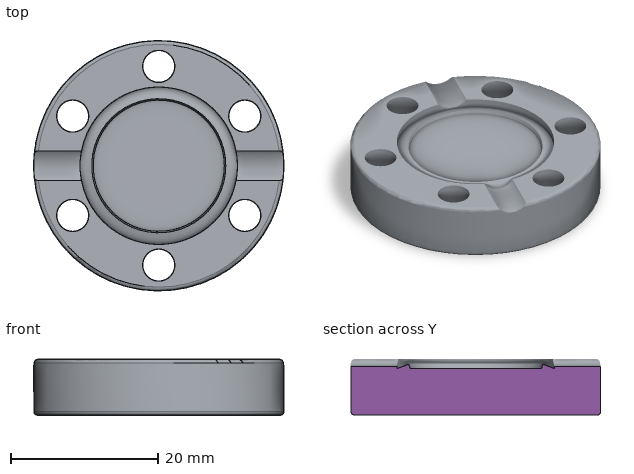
import cadquery as cq

outer_diameter = 34
thickness = 7.6
edge_radius = 0.5

recess_diameter = 21.4
knife_diameter = 18.22
floor_diameter = 17.8
knife_depth = 0.65
recess_depth = 1.22

hole_count = 6
hole_diameter = 4.32
bolt_circle_diameter = 27.0
first_hole_angle = 90

groove_width = 4.0
groove_depth = 1.0
groove_radius = ((groove_width / 2) ** 2 + groove_depth**2) / (2 * groove_depth)


def make_disc():
    """Disc standing on Z = 0 with both rims rounded."""
    disc = cq.Workplane("XY").circle(outer_diameter / 2).extrude(thickness)
    return disc.faces("|Z").edges().fillet(edge_radius)


def make_recess():
    """Revolved cutter that leaves the knife edge standing below the top face."""
    bottom = thickness - recess_depth
    profile = (
        cq.Workplane("XZ")
        .moveTo(0, thickness)
        .lineTo(recess_diameter / 2, thickness)
        .lineTo(recess_diameter / 2, bottom)
        .lineTo(knife_diameter / 2, thickness - knife_depth)
        .lineTo(floor_diameter / 2, bottom)
        .lineTo(0, bottom)
        .close()
    )
    return profile.revolve(360, (0, 0, 0), (0, 1, 0))


def make_bolt_holes():
    """Through holes evenly spaced on the bolt circle."""
    return (
        cq.Workplane("XY")
        .polarArray(bolt_circle_diameter / 2, first_hole_angle, 360, hole_count)
        .circle(hole_diameter / 2)
        .extrude(thickness)
    )


def make_grooves():
    """Cutters along X on both sides, stopping at the recess wall to spare the knife edge."""
    axis_height = thickness - groove_depth + groove_radius
    bar = (
        cq.Workplane("YZ")
        .center(0, axis_height)
        .circle(groove_radius)
        .extrude(outer_diameter / 2, both=True)
    )
    recess_core = cq.Workplane("XY").circle(recess_diameter / 2).extrude(axis_height + groove_radius)
    return bar.cut(recess_core)


result = make_disc().cut(make_recess()).cut(make_bolt_holes()).cut(make_grooves())